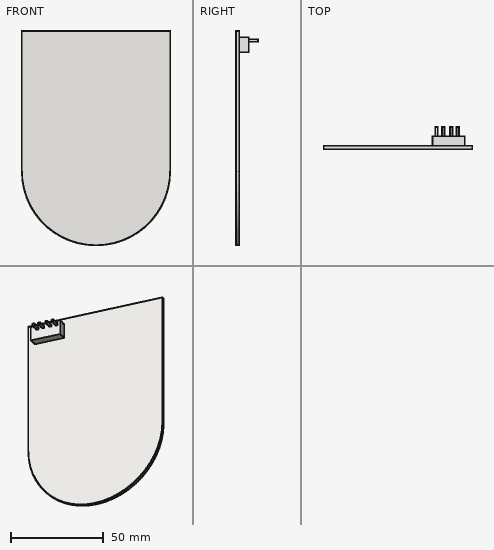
import cadquery as cq

plate_width = 80.0
plate_height = 115.5
total_depth = 12.0
plate_thickness = 2.0
end_radius = plate_width / 2
straight_bottom = end_radius - plate_height / 2
plate_top = plate_height / 2

block_width = 17.5
block_height = 8.2
block_depth = 5.1
block_center_x = 27.3
block_top_gap = 3.4
block_center_z = plate_top - block_top_gap - block_height / 2

pin_diameter = 1.5
pin_top_gap = 5.2
pin_z = plate_top - pin_top_gap
pin_positions_x = (20.7, 24.4, 28.7, 32.1)
pin_base_y = plate_thickness + block_depth
pin_length = total_depth - pin_base_y


def rear_workplane(start_y):
    """XZ plane at the given Y, extruding toward +Y; its local X is -X."""
    return cq.Workplane(cq.Plane(origin=(0, start_y, 0), xDir=(-1, 0, 0), normal=(0, 1, 0)))


def make_plate():
    return (
        rear_workplane(0)
        .moveTo(-end_radius, plate_top)
        .lineTo(end_radius, plate_top)
        .lineTo(end_radius, straight_bottom)
        .threePointArc((0, -plate_height / 2), (-end_radius, straight_bottom))
        .close()
        .extrude(plate_thickness)
    )


def make_block():
    return (
        rear_workplane(plate_thickness)
        .center(-block_center_x, block_center_z)
        .rect(block_width, block_height)
        .extrude(block_depth)
    )


def make_pins():
    return (
        rear_workplane(pin_base_y)
        .pushPoints([(-x, pin_z) for x in pin_positions_x])
        .circle(pin_diameter / 2)
        .extrude(pin_length)
    )


result = make_plate().union(make_block()).union(make_pins())